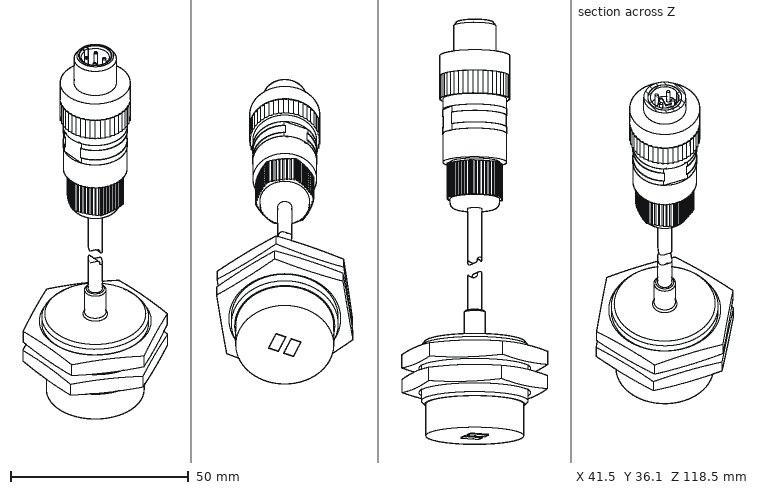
import cadquery as cq
import math

total_height = 118.5

pad_height = 0.2
pad_width = 3.0
pad_length = 5.5
pad_spacing = 4.6
face_radius = 27.6 / 2
thread_radius = 30.1 / 2
collar_z = 9.2
collar_bottom_radius = 14.1
housing_top_z = 27.0
top_chamfer_width = 0.8
top_chamfer_height = 1.1
sleeve_radius = 6.0 / 2
sleeve_top_z = 36.0
sleeve_chamfer = 0.5
flare_radius = 3.4
flare_height = 0.7

nut_corner_radius = 41.5 / 2
nut_thickness = 5.0
nut_face_radius = 17.5
nut_corner_drop = 0.6
nut_bore_chamfer = 0.7
nut_bottoms_and_turns = [(12.6, -0.5), (19.5, 0.5)]

cable_radius = 4.0 / 2
lower_break_z = 46.1
upper_break_z = 50.3
wave_height = 1.0

gland_bottom_z = 65.2
gland_radius = 14.0 / 2
gland_fillet = 1.8
hex_bottom_z = 68.0
hex_top_z = 77.8
hex_face_distance = 15.4 / 2
hex_corner_radius = 16.7 / 2
serrations_per_face = 8
serration_pitch = 1.1
serration_width = 0.4
serration_depth = 0.2

grip_bottom_z = 78.5
grip_top_z = 96.6
grip_radius = 18.0 / 2
band_bottom_z = 86.6
band_top_z = 93.5
band_rise = 0.06
band_radius = grip_radius + band_rise
waist_bottom_z = 88.4
waist_top_z = 91.7
waist_recess = 0.08
waist_radius = grip_radius - waist_recess
flat_distance = 8.3

flange_radius = 19.8 / 2
flange_top_z = 108.9
knurl_top_z = 103.1
flute_count = 44
flute_ridge_radius = 10.0
flute_depth = 0.3
nose_radius = 12.0 / 2
nose_rim_radius = 10.4 / 2
nose_chamfer_height = 1.1
coupling_bore_radius = 9.4 / 2

socket_radius = 8.0 / 2
socket_mouth_radius = 9.0 / 2
socket_depth = 8.9
socket_floor_z = total_height - socket_depth
cross_length = 6.9
cross_width = 1.1
cross_depth = 0.4
key_width = 1.4
key_face_distance = 3.8
pin_offset = 1.8
pin_radius = 1.0 / 2
pin_tip_radius = 0.6 / 2
pin_chamfer_height = 0.4
pin_top_z = 117.8


def turned(points):
    """Solid of revolution about Z from (radius, height) points."""
    return cq.Workplane("XZ").polyline(points).close().revolve(360, (0, 0, 0), (0, 1, 0))


def cylinder(radius, bottom_z, top_z):
    return cq.Workplane("XY").workplane(offset=bottom_z).circle(radius).extrude(top_z - bottom_z)


def make_housing():
    collar_chamfer = thread_radius - collar_bottom_radius
    body = turned([
        (0, pad_height),
        (face_radius, pad_height),
        (face_radius, collar_z),
        (collar_bottom_radius, collar_z),
        (thread_radius, collar_z + collar_chamfer),
        (thread_radius, housing_top_z - top_chamfer_height),
        (thread_radius - top_chamfer_width, housing_top_z),
        (flare_radius, housing_top_z),
        (sleeve_radius, housing_top_z + flare_height),
        (sleeve_radius, sleeve_top_z - sleeve_chamfer),
        (sleeve_radius - sleeve_chamfer, sleeve_top_z),
        (0, sleeve_top_z),
    ])
    pads = (
        cq.Workplane("XY")
        .rarray(pad_spacing, 1.2, 2, 1)
        .rect(pad_width, pad_length)
        .extrude(pad_height)
    )
    return body.union(pads)


def make_nut(bottom_z, turn):
    top_z = bottom_z + nut_thickness
    hexagon = (
        cq.Workplane("XY")
        .workplane(offset=bottom_z)
        .polygon(6, 2 * nut_corner_radius)
        .extrude(nut_thickness)
        .rotate((0, 0, 0), (0, 0, 1), turn)
    )
    bore_mouth_radius = thread_radius + nut_bore_chamfer
    ring = turned([
        (thread_radius, bottom_z + nut_bore_chamfer),
        (bore_mouth_radius, bottom_z),
        (nut_face_radius, bottom_z),
        (nut_corner_radius, bottom_z + nut_corner_drop),
        (nut_corner_radius, top_z - nut_corner_drop),
        (nut_face_radius, top_z),
        (bore_mouth_radius, top_z),
        (thread_radius, top_z - nut_bore_chamfer),
    ])
    return hexagon.intersect(ring)


def make_cable(flat_end_z, wavy_end_z):
    """Cable piece with one flat end and one end cut along an S-shaped wave across Y."""
    quarter = cable_radius / 2
    profile = (
        cq.Workplane("YZ")
        .moveTo(-cable_radius, flat_end_z)
        .lineTo(-cable_radius, wavy_end_z)
        .threePointArc((-quarter, wavy_end_z + wave_height), (0, wavy_end_z))
        .threePointArc((quarter, wavy_end_z - wave_height), (cable_radius, wavy_end_z))
        .lineTo(cable_radius, flat_end_z)
        .close()
        .extrude(cable_radius, both=True)
    )
    low_z = min(flat_end_z, wavy_end_z) - wave_height
    high_z = max(flat_end_z, wavy_end_z) + wave_height
    return profile.intersect(cylinder(cable_radius, low_z, high_z))


def make_gland_nut():
    core = cylinder(gland_radius, gland_bottom_z, grip_bottom_z).faces("<Z").edges().fillet(gland_fillet)
    hex_height = hex_top_z - hex_bottom_z

    def at_angle(radius, degrees):
        angle = math.radians(degrees)
        return (radius * math.cos(angle), radius * math.sin(angle))

    outline = cq.Workplane("XY").workplane(offset=hex_bottom_z).moveTo(*at_angle(hex_corner_radius, -30))
    face_directions = [60 * face for face in range(6)]
    for direction in face_directions:
        face_middle = at_angle(hex_face_distance, direction)
        next_corner = at_angle(hex_corner_radius, direction + 30)
        outline = outline.threePointArc(face_middle, next_corner)
    hexagon = outline.close().extrude(hex_height)

    half_side = hex_corner_radius / 2
    bulge = hex_face_distance - hex_corner_radius * math.cos(math.radians(30))
    face_arc_radius = (half_side**2 + bulge**2) / (2 * bulge)
    arc_axis_x = hex_face_distance - face_arc_radius
    middle_groove = (
        cq.Workplane("XY")
        .workplane(offset=hex_bottom_z)
        .center(hex_face_distance, 0)
        .rect(2 * serration_depth, serration_width)
        .extrude(hex_height)
    )
    for groove in range(serrations_per_face):
        steps_from_middle = groove - (serrations_per_face - 1) / 2
        turn = math.degrees(steps_from_middle * serration_pitch / face_arc_radius)
        face_groove = middle_groove.rotate((arc_axis_x, 0, 0), (arc_axis_x, 0, 1), turn)
        for direction in face_directions:
            hexagon = hexagon.cut(face_groove.rotate((0, 0, 0), (0, 0, 1), direction))
    return core.union(hexagon)


def make_grip():
    grip = turned([
        (0, grip_bottom_z),
        (grip_radius, grip_bottom_z),
        (grip_radius, band_bottom_z),
        (band_radius, band_bottom_z),
        (band_radius, waist_bottom_z),
        (waist_radius, waist_bottom_z),
        (waist_radius, waist_top_z),
        (band_radius, waist_top_z),
        (band_radius, band_top_z),
        (grip_radius, band_top_z),
        (grip_radius, grip_top_z),
        (0, grip_top_z),
    ])
    flats = (
        cq.Workplane("XY")
        .workplane(offset=band_bottom_z)
        .rarray(1.2, 4 * flat_distance, 1, 2)
        .rect(2 * grip_radius, 2 * flat_distance)
        .extrude(band_top_z - band_bottom_z)
    )
    return grip.cut(flats)


def make_knurl():
    """Ring of concave flutes that meet in sharp ridges."""
    def rim_point(radius, step):
        angle = 2 * math.pi * step / flute_count
        return (radius * math.cos(angle), radius * math.sin(angle))

    outline = cq.Workplane("XY").workplane(offset=grip_top_z).moveTo(*rim_point(flute_ridge_radius, 0))
    for flute in range(flute_count):
        valley = rim_point(flute_ridge_radius - flute_depth, flute + 0.5)
        ridge = rim_point(flute_ridge_radius, flute + 1)
        outline = outline.threePointArc(valley, ridge)
    return outline.close().extrude(knurl_top_z - grip_top_z)


def make_coupling_ring():
    plain = turned([
        (0, knurl_top_z),
        (flange_radius, knurl_top_z),
        (flange_radius, flange_top_z),
        (nose_radius, flange_top_z),
        (nose_radius, total_height - nose_chamfer_height),
        (nose_rim_radius, total_height),
        (0, total_height),
    ])
    return plain.union(make_knurl()).cut(cylinder(coupling_bore_radius, grip_top_z, total_height))


def make_pin():
    return turned([
        (0, socket_floor_z - cross_depth),
        (pin_radius, socket_floor_z - cross_depth),
        (pin_radius, pin_top_z - pin_chamfer_height),
        (pin_tip_radius, pin_top_z),
        (0, pin_top_z),
    ])


def make_insert():
    mouth_chamfer = socket_mouth_radius - socket_radius
    insert = turned([
        (0, grip_top_z),
        (coupling_bore_radius, grip_top_z),
        (coupling_bore_radius, total_height),
        (socket_mouth_radius, total_height),
        (socket_radius, total_height - mouth_chamfer),
        (socket_radius, socket_floor_z),
        (0, socket_floor_z),
    ])
    floor = cq.Workplane("XY").workplane(offset=socket_floor_z)
    for arm_x, arm_y in [(cross_length, cross_width), (cross_width, cross_length)]:
        insert = insert.cut(floor.rect(arm_x, arm_y).extrude(-cross_depth))
    key_depth = socket_mouth_radius - key_face_distance
    key = (
        floor.center(-(socket_mouth_radius + key_face_distance) / 2, 0)
        .rect(key_depth, key_width)
        .extrude(socket_depth)
    )
    insert = insert.union(key)
    for x_side in (-1, 1):
        for y_side in (-1, 1):
            insert = insert.union(make_pin().translate((x_side * pin_offset, y_side * pin_offset, 0)))
    return insert


housing = make_housing()
nuts = [make_nut(bottom_z, turn) for bottom_z, turn in nut_bottoms_and_turns]
cables = [
    make_cable(flat_end_z, wavy_end_z)
    for flat_end_z, wavy_end_z in [(sleeve_top_z, lower_break_z), (gland_bottom_z, upper_break_z)]
]
gland_nut = make_gland_nut()
grip = make_grip()
coupling_ring = make_coupling_ring()
insert = make_insert()

result = cq.Compound.makeCompound([
    housing.val(),
    *[nut.val() for nut in nuts],
    *[cable.val() for cable in cables],
    gland_nut.val(),
    grip.val(),
    coupling_ring.val(),
    insert.val(),
])